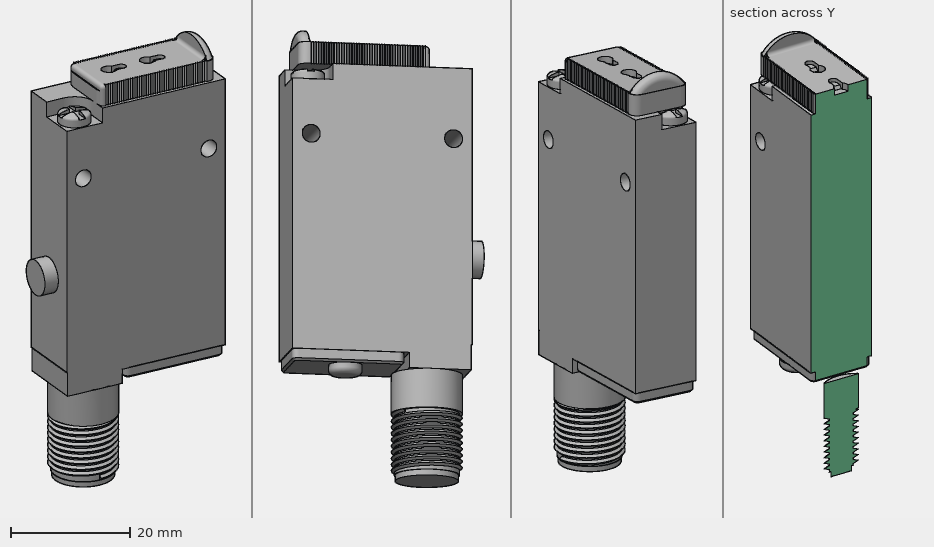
import cadquery as cq
import math


width = 12.05
depth = 30.7
body_bottom = 22.5
cap_top = 69.75
base_front = 0.15
base_bottom = 20.7

connector_block_back = 10.75
connector_block_bottom = 18.15
connector_y = 6.6
shank_radius = width / 2
shank_bottom = 11.5
thread_root_radius = 5.5
thread_clearance = 0.04
thread_crest_radius = shank_radius - thread_clearance
thread_pitch = 1.1
thread_base = 0.9 * thread_pitch
thread_sink = 0.1
thread_start = 1.5
tip_radius = 5.3
tip_height = 1.0

plate_length = 19.05
plate_edge_gap = 0.15
plate_bottom = 18.75
plate_corner = 1.0
plate_chamfer = 0.4
plate_screw_x = -3.0
plate_screw_y = 21.1
plate_screw_bottom = 16.9
plate_screw_round = 0.9

button_diameter = 6.3
button_length = 2.6
button_z = 38.3
hole_diameter = 3.05
hole_inset = 3.2
hole_z = 57.6

screw_x = 3.0
screw_y = 3.2
screw_radius = 2.8
screw_height = 2.1
screw_rim = 1.5
screw_rim_round = 0.45
screw_slot_width = 1.15
screw_slot_depth = 0.8
pocket_left = -0.8
pocket_corner = 3.5
pocket_floor = 67.0

window_width = 10.9
window_half_width = window_width / 2
window_front = 7.1
window_back = 29.35
window_top = 73.5
front_round = 0.7
back_corner = 1.5
flute_depth = 0.45
flute_pitch = 0.435
plain_front_length = 0.85
flute_front = window_front + plain_front_length
flute_count = 45
flute_back = flute_front + flute_count * flute_pitch

panel_width = 9.5
panel_top = 72.5
panel_height = 0.15
panel_slope = 0.7

pocket_back = window_front - panel_height

wall_front = 27.6
wall_back = 29.3
wall_shoulder = 73.2
wall_top = 76.2
wall_round = 1.2
cove_radius = 0.7
cove_half_width = 4.7
cove_overlap = 0.15

keyhole_places = (11.6, 19.05)
keyhole_diameter = 2.6
keyhole_depth = 1.2
keyhole_slot_width = 1.7
keyhole_slot_reach = 3.3
keyhole_slot_depth = 0.7
keyhole_ramp_top = 1.75
keyhole_ramp_bottom = 1.3


def box(x_size, y_from, y_to, z_from, z_to):
    """A box centred on X, between the given Y and Z limits."""
    blank = cq.Workplane("XY").box(x_size, y_to - y_from, z_to - z_from, centered=(True, False, False))
    return blank.translate((0, y_from, z_from))


def cylinder(x, y, z_from, z_to, radius):
    """An upright cylinder."""
    return cq.Workplane("XY", origin=(x, y, z_from)).circle(radius).extrude(z_to - z_from)


def opposite_corner(shape):
    """The same shape turned half a turn about the middle of the housing."""
    return shape.rotate((0, depth / 2, 0), (0, depth / 2, 1), 180)


def housing():
    body = box(width, 0, depth, body_bottom, cap_top)
    base = box(width, base_front, depth, base_bottom, body_bottom)
    block = box(width, base_front, connector_block_back, connector_block_bottom, body_bottom)
    return body.union(base).union(block)


def mounting_holes():
    centres = [(hole_inset, hole_z), (depth - hole_inset, hole_z)]
    return cq.Workplane("YZ").pushPoints(centres).circle(hole_diameter / 2).extrude(width, both=True)


def button():
    face = cq.Workplane("XZ").center(0, button_z).circle(button_diameter / 2)
    return face.extrude(button_length)


def cover_plate():
    back = depth - plate_edge_gap
    plate = box(width - 2 * plate_edge_gap, back - plate_length, back, plate_bottom, base_bottom)
    plate = plate.edges("|Z").fillet(plate_corner).faces("<Z").chamfer(plate_chamfer)
    screw = cylinder(plate_screw_x, plate_screw_y, plate_screw_bottom, plate_bottom, screw_radius)
    return plate.union(screw.faces("<Z").edges().fillet(plate_screw_round))


def thread():
    """Right-handed ridge of triangular section, sunk slightly into the core."""
    half_base = thread_base / 2
    length = shank_bottom - thread_start
    inner = thread_root_radius - thread_sink
    helix = cq.Wire.makeHelix(thread_pitch, length, thread_root_radius)
    ridge = (
        cq.Workplane("XZ")
        .polyline([(inner, -half_base), (thread_crest_radius, 0), (inner, half_base)])
        .close()
        .sweep(cq.Workplane(helix), isFrenet=True)
    )
    return ridge.translate((0, connector_y, thread_start))


def connector():
    tip = cylinder(0, connector_y, 0, tip_height, tip_radius)
    core = cylinder(0, connector_y, tip_height, connector_block_bottom, thread_root_radius)
    shank = cylinder(0, connector_y, shank_bottom, connector_block_bottom, shank_radius)
    return core.union(thread()).union(tip).union(shank)


def screw_pocket():
    """Corner pocket with one round corner, open to the front and to the side."""
    arc_x = pocket_left + pocket_corner
    arc_y = pocket_back - pocket_corner
    arc_offset = pocket_corner * math.sqrt(0.5)
    return (
        cq.Workplane("XY", origin=(0, 0, pocket_floor))
        .moveTo(pocket_left, 0)
        .lineTo(pocket_left, arc_y)
        .threePointArc((arc_x - arc_offset, arc_y + arc_offset), (arc_x, pocket_back))
        .lineTo(width / 2, pocket_back)
        .lineTo(width / 2, 0)
        .close()
        .extrude(cap_top - pocket_floor)
    )


def cap_screw():
    top = pocket_floor + screw_height
    dome_rise = screw_height - screw_rim
    dome_radius = (screw_radius**2 + dome_rise**2) / (2 * dome_rise)
    dome = cq.Workplane("XY", origin=(screw_x, screw_y, top - dome_radius)).sphere(dome_radius)
    head = cylinder(screw_x, screw_y, pocket_floor, top, screw_radius).intersect(dome)
    head = head.faces("%CYLINDER").edges(">Z").fillet(screw_rim_round)
    slots = cq.Workplane("XY", origin=(screw_x, screw_y, top))
    for angle in (0, 90):
        slot = slots.transformed(rotate=(0, 0, angle)).rect(2 * screw_radius, screw_slot_width)
        head = head.cut(slot.extrude(-screw_slot_depth))
    return head


def flute_outline():
    """Zigzag outline of the fluted stretch: up the right side, then mirrored down the left."""
    valley = window_half_width - flute_depth
    right = [(window_half_width, flute_front)]
    for i in range(flute_count):
        start = flute_front + i * flute_pitch
        right.append((valley, start + flute_pitch / 2))
        right.append((window_half_width, start + flute_pitch))
    left = [(-x, y) for x, y in reversed(right)]
    return right + left


def window_block():
    """Block with rounded ends and V-shaped flutes along both sides between them."""
    front_end = box(window_width, window_front, flute_front, cap_top, window_top)
    front_end = front_end.edges("|Z and <Y").fillet(front_round)
    front_end = front_end.faces("<Y").edges(">Z").fillet(front_round)
    back_end = box(window_width, flute_back, window_back, cap_top, window_top)
    back_end = back_end.edges("|Z and >Y").fillet(back_corner)
    middle = cq.Workplane("XY", origin=(0, 0, cap_top)).polyline(flute_outline()).close()
    return middle.extrude(window_top - cap_top).union(front_end).union(back_end)


def front_panel():
    panel_back = window_front + front_round
    panel = box(panel_width, window_front - panel_height, panel_back, cap_top, panel_top)
    rim = panel.faces("<Y").edges("not <Z")
    return rim.chamfer(panel_height, panel_slope)


def end_wall():
    wall = (
        cq.Workplane("XZ", origin=(0, wall_back, 0))
        .moveTo(-window_half_width, cap_top)
        .lineTo(-window_half_width, wall_shoulder)
        .threePointArc((0, wall_top), (window_half_width, wall_shoulder))
        .lineTo(window_half_width, cap_top)
        .close()
        .extrude(wall_back - wall_front)
    )
    wall = wall.faces(">Y").edges(">Z").fillet(wall_round)
    envelope = box(window_width, window_front, wall_back, cap_top, wall_top)
    return wall.intersect(envelope.edges("|Z and >Y").fillet(back_corner))


def wall_cove():
    """Concave rounding between the top of the window block and the end wall."""
    cove_front = wall_front - cove_radius
    cove_top = window_top + cove_radius
    inset = cove_radius * math.sqrt(0.5)
    return (
        cq.Workplane("YZ")
        .moveTo(cove_front, window_top)
        .threePointArc((cove_front + inset, cove_top - inset), (wall_front, cove_top))
        .lineTo(wall_front + cove_overlap, cove_top)
        .lineTo(wall_front + cove_overlap, window_top - cove_overlap)
        .lineTo(cove_front, window_top - cove_overlap)
        .close()
        .extrude(cove_half_width, both=True)
    )


def keyhole(y):
    """Round pocket with a shallower slot behind it; a steep ramp joins the two floors."""
    pocket = cylinder(0, y, window_top - keyhole_depth, window_top, keyhole_diameter / 2)
    slot_radius = keyhole_slot_width / 2
    slot_end = y + keyhole_slot_reach - slot_radius
    floor = window_top - keyhole_slot_depth
    low = window_top - keyhole_depth
    side = (
        cq.Workplane("YZ")
        .polyline([
            (y, low),
            (y + keyhole_ramp_bottom, low),
            (y + keyhole_ramp_top, floor),
            (slot_end + slot_radius, floor),
            (slot_end + slot_radius, window_top),
            (y, window_top),
        ])
        .close()
        .extrude(slot_radius, both=True)
    )
    plan = box(keyhole_slot_width, y, slot_end, low, window_top)
    plan = plan.union(cylinder(0, slot_end, low, window_top, slot_radius))
    return pocket.union(side.intersect(plan))


result = housing().cut(mounting_holes())
pocket = screw_pocket()
screw = cap_screw()
result = result.cut(pocket).cut(opposite_corner(pocket))
result = result.union(screw).union(opposite_corner(screw))
result = result.union(button()).union(cover_plate())
result = result.union(window_block()).union(front_panel()).union(end_wall()).union(wall_cove())
for keyhole_y in keyhole_places:
    result = result.cut(keyhole(keyhole_y))
result = result.union(connector())